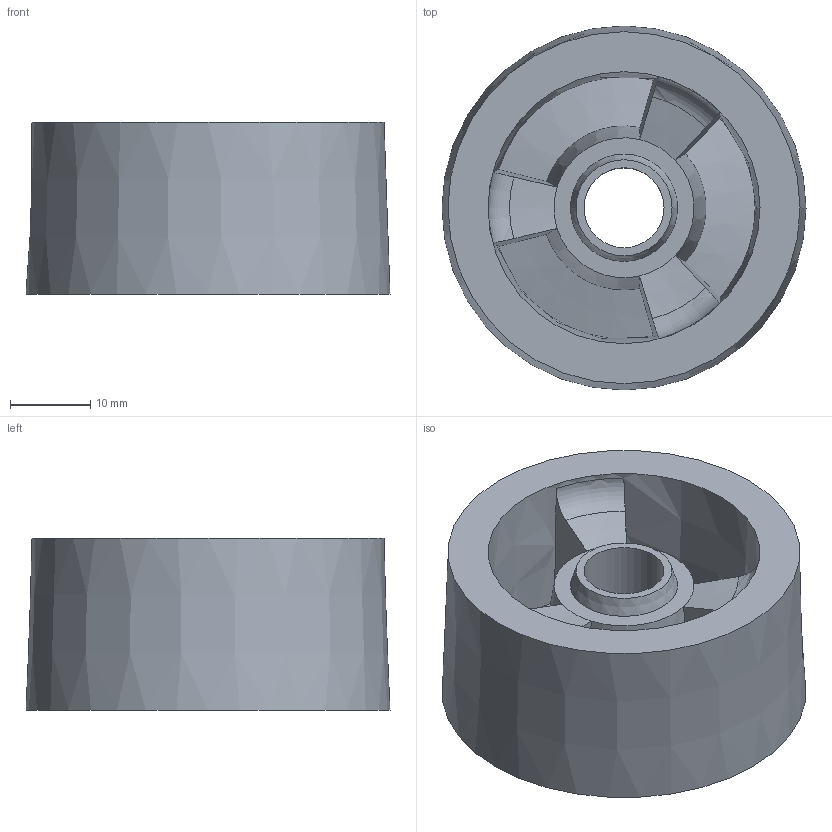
import cadquery as cq
import math

height = 21.5
outer_bottom_radius = 22.75
outer_top_radius = 22.0
rim_inner_radius = 17.0
draft_angle = 2.0
draft = math.tan(math.radians(draft_angle))

cone_slope_angle = 12.5
cone_slope = math.tan(math.radians(cone_slope_angle))

bore_radius = 5.0
hub_top_radius = 8.75
hub_foot_radius = 10.25
hub_top = 16.4
collar_base_radius = 6.7
collar_top_radius = 6.0
collar_top = 18.65

floor_at_wall = 4.1

rib_count = 3
first_rib_angle = 60.0
rib_half_angle = 13.7
rib_side_offset = 1.12
rib_fillet_radius = 3.4
overlap = 1.25


def wall_radius(z):
    """Radius of the drafted pocket wall at height z."""
    return rim_inner_radius - (height - z) * draft


def make_wheel():
    """Revolve the hub, pocket floor and outer wall as one section."""
    foot_radius = wall_radius(floor_at_wall)
    floor_at_hub = floor_at_wall + (foot_radius - hub_foot_radius) * cone_slope
    section = [
        (bore_radius, 0),
        (outer_bottom_radius, 0),
        (outer_top_radius, height),
        (rim_inner_radius, height),
        (foot_radius, floor_at_wall),
        (hub_foot_radius, floor_at_hub),
        (hub_top_radius, hub_top),
        (collar_base_radius, hub_top),
        (collar_top_radius, collar_top),
        (bore_radius, collar_top),
    ]
    return cq.Workplane("XZ").polyline(section).close().revolve()


def make_rib_ring():
    """Revolve the rib section: a rising top that sweeps up into the wall."""
    wall_run = wall_radius(hub_top) - hub_top_radius
    corner_r = hub_top_radius + wall_run / (1 - cone_slope * draft)
    corner_z = hub_top + (corner_r - hub_top_radius) * cone_slope

    slope_dir = math.radians(cone_slope_angle)
    wall_dir = math.radians(90 - draft_angle)
    turn = wall_dir - slope_dir
    tangent = rib_fillet_radius * math.tan(turn / 2)
    fillet_start = (corner_r - tangent * math.cos(slope_dir), corner_z - tangent * math.sin(slope_dir))
    fillet_end = (corner_r + tangent * math.cos(wall_dir), corner_z + tangent * math.sin(wall_dir))
    center_r = fillet_start[0] - rib_fillet_radius * math.sin(slope_dir)
    center_z = fillet_start[1] + rib_fillet_radius * math.cos(slope_dir)
    mid_dir = (slope_dir + wall_dir) / 2
    fillet_mid = (
        center_r + rib_fillet_radius * math.sin(mid_dir),
        center_z - rib_fillet_radius * math.cos(mid_dir),
    )

    ring_inner = hub_top_radius - overlap
    ring_outer = rim_inner_radius + overlap
    return (
        cq.Workplane("XZ")
        .moveTo(ring_inner, 0)
        .lineTo(ring_inner, hub_top)
        .lineTo(hub_top_radius, hub_top)
        .lineTo(*fillet_start)
        .threePointArc(fillet_mid, fillet_end)
        .lineTo(ring_outer, fillet_end[1])
        .lineTo(ring_outer, 0)
        .close()
        .revolve()
    )


def make_rib_wedge(angle):
    """Drafted wedge that bounds one rib, widening away from the axis."""
    inner = hub_top_radius - 2 * overlap
    outer = rim_inner_radius + 2 * overlap
    spread = math.tan(math.radians(rib_half_angle))
    inner_half = rib_side_offset + inner * spread
    outer_half = rib_side_offset + outer * spread
    outline = [
        (inner, -inner_half),
        (outer, -outer_half),
        (outer, outer_half),
        (inner, inner_half),
    ]
    wedge = cq.Workplane("XY").polyline(outline).close().extrude(height, taper=draft_angle)
    return wedge.rotate((0, 0, 0), (0, 0, 1), angle)


result = make_wheel()
rib_ring = make_rib_ring()
for index in range(rib_count):
    rib_angle = first_rib_angle + index * 360 / rib_count
    result = result.union(rib_ring.intersect(make_rib_wedge(rib_angle)))